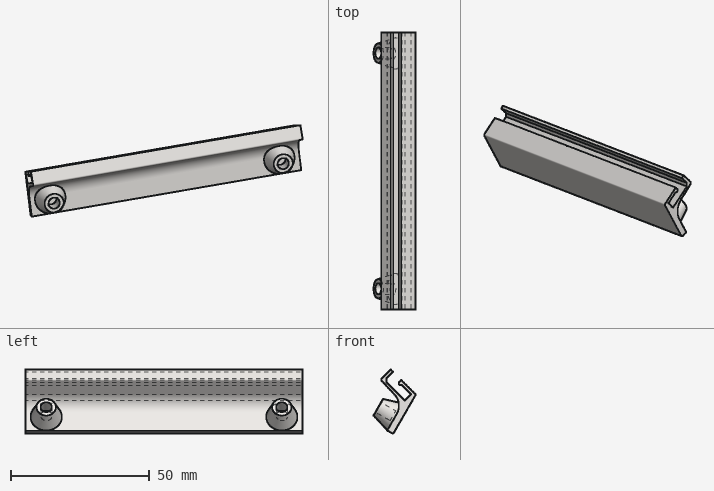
import math

import cadquery as cq

LENGTH = 100.0

PLATE_TILT = 60.0
PLATE_WIDTH = 16.4
PLATE_THICKNESS = 2.5
PLATE_EDGE_RADIUS = 0.5

CLIP_TILT = 45.0
CLIP_LENGTH = 12.88
FLOOR_OFFSET = 1.4
LIP_THICKNESS = 1.2
LIP_LENGTH = 7.5
CAVITY_DEPTH = 3.1
WALL_THICKNESS = 0.9
WALL_FLARE = 2.0
HOOK_THICKNESS = 1.25
HOOK_OUTER_RADIUS = 0.6
HOOK_INNER_CHAMFER = 0.95
BEAD_LENGTH = 1.4
BEAD_HEIGHT = 0.5

BLEND_RADIUS = 6.0

BOSS_HEIGHT = 7.0
BOSS_TOP_DIAMETER = 7.0
BOSS_BASE_DIAMETER = 11.3
BOSS_FROM_PLATE_END = 5.7
BOSS_FROM_BODY_END = 7.5
HOLE_DIAMETER = 4.1
HOLE_DEPTH = 6.0


def direction(angle):
    """Unit vector in the XZ plane, measured from +X toward +Z."""
    return (math.cos(math.radians(angle)), math.sin(math.radians(angle)))


def offset(point, angle, distance):
    """Point moved by a distance along an angle in the XZ plane."""
    step = direction(angle)
    return (point[0] + distance * step[0], point[1] + distance * step[1])


PLATE_NORMAL = PLATE_TILT + 90.0
ALONG = CLIP_TILT + 90.0
PLATE_FOOT = (0.0, 0.0)
HEEL = offset(PLATE_FOOT, PLATE_TILT, PLATE_WIDTH)


def clip_point(across, along):
    """Point measured from the heel, in the clip's own tilted axes."""
    return offset(offset(HEEL, CLIP_TILT, across), ALONG, along)


def blend_points(wall_corner):
    """Start, middle and end of the arc tangent to the flared wall and the plate face."""
    wall_normal_angle = ALONG - WALL_FLARE + 90.0
    wall_normal = direction(wall_normal_angle)
    plate_normal = direction(PLATE_NORMAL)

    wall_reach = wall_corner[0] * wall_normal[0] + wall_corner[1] * wall_normal[1] + BLEND_RADIUS
    plate_reach = PLATE_THICKNESS + BLEND_RADIUS
    determinant = plate_normal[0] * wall_normal[1] - plate_normal[1] * wall_normal[0]
    centre = (
        (plate_reach * wall_normal[1] - wall_reach * plate_normal[1]) / determinant,
        (wall_reach * plate_normal[0] - plate_reach * wall_normal[0]) / determinant,
    )
    middle_angle = (wall_normal_angle + PLATE_NORMAL) / 2
    return [offset(centre, angle, -BLEND_RADIUS) for angle in (wall_normal_angle, middle_angle, PLATE_NORMAL)]


def round_edge(body, corner, radius):
    """Fillet the lengthwise edge that passes through a profile corner."""
    nearest = cq.selectors.NearestToPointSelector((corner[0], 0.0, corner[1]))
    return body.edges("|Y").edges(nearest).fillet(radius)


def make_body():
    """Plate and clip as one extruded profile with rounded outer corners."""
    inner_face = -LIP_THICKNESS
    wall_inner = inner_face - CAVITY_DEPTH
    wall_outer = wall_inner - WALL_THICKNESS
    hook_inner = CLIP_LENGTH - HOOK_THICKNESS
    bead_start = LIP_LENGTH - BEAD_LENGTH

    wall_corner = clip_point(wall_outer, CLIP_LENGTH)
    blend_start, blend_middle, blend_end = blend_points(wall_corner)

    outline = (
        cq.Workplane("XZ")
        .moveTo(*PLATE_FOOT)
        .lineTo(*HEEL)
        .lineTo(*clip_point(0, LIP_LENGTH))
        .lineTo(*clip_point(inner_face, LIP_LENGTH))
        .threePointArc(
            clip_point(inner_face - BEAD_HEIGHT, LIP_LENGTH - BEAD_LENGTH / 2),
            clip_point(inner_face, bead_start),
        )
        .lineTo(*clip_point(inner_face, FLOOR_OFFSET))
        .lineTo(*clip_point(wall_inner, FLOOR_OFFSET))
        .lineTo(*clip_point(wall_inner, hook_inner - HOOK_INNER_CHAMFER))
        .lineTo(*clip_point(wall_inner + HOOK_INNER_CHAMFER, hook_inner))
        .lineTo(*clip_point(0, hook_inner))
        .lineTo(*clip_point(0, CLIP_LENGTH))
        .lineTo(*wall_corner)
        .lineTo(*blend_start)
        .threePointArc(blend_middle, blend_end)
        .lineTo(*offset(PLATE_FOOT, PLATE_NORMAL, PLATE_THICKNESS))
    )
    body = outline.close().extrude(LENGTH / 2, both=True)
    body = round_edge(body, wall_corner, HOOK_OUTER_RADIUS)
    for corner in (PLATE_FOOT, HEEL):
        body = round_edge(body, corner, PLATE_EDGE_RADIUS)
    return body


def boss_plane(y):
    """Plane on the plate's back face, with its normal along the boss axis."""
    centre = offset(PLATE_FOOT, PLATE_TILT, BOSS_FROM_PLATE_END)
    normal = direction(PLATE_NORMAL)
    return cq.Plane(origin=(centre[0], y, centre[1]), xDir=(0, 1, 0), normal=(normal[0], 0, normal[1]))


def make_boss(y):
    """Tapered standoff rising from the plate's front face."""
    return (
        cq.Workplane(boss_plane(y))
        .workplane(offset=PLATE_THICKNESS)
        .circle(BOSS_BASE_DIAMETER / 2)
        .workplane(offset=BOSS_HEIGHT)
        .circle(BOSS_TOP_DIAMETER / 2)
        .loft()
    )


def make_hole(y):
    """Blind hole sunk from the top of a standoff."""
    return (
        cq.Workplane(boss_plane(y))
        .workplane(offset=PLATE_THICKNESS + BOSS_HEIGHT)
        .circle(HOLE_DIAMETER / 2)
        .extrude(-HOLE_DEPTH)
    )


result = make_body()
boss_y = LENGTH / 2 - BOSS_FROM_BODY_END
for y in (-boss_y, boss_y):
    result = result.union(make_boss(y)).cut(make_hole(y))